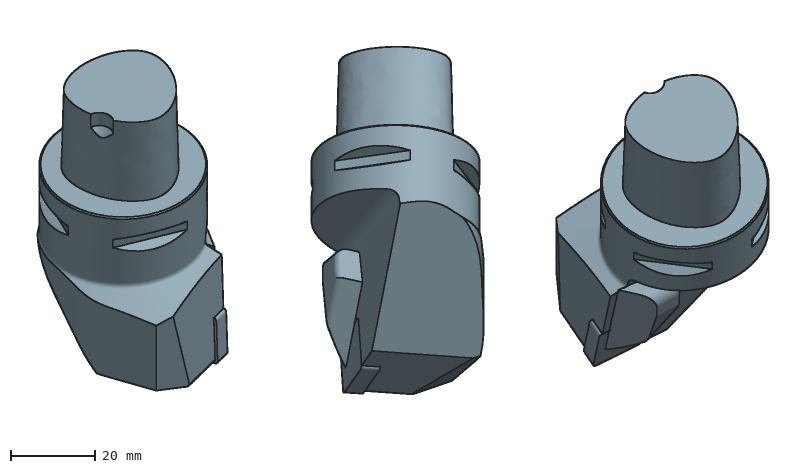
import cadquery as cq
import math


SHANK_HEIGHT = 23.9
SHANK_BASE_RADIUS = 14.0
SHANK_TOP_RADIUS = SHANK_BASE_RADIUS - SHANK_HEIGHT / 40
LOBE_OFFSET = 0.8

NOTCH_RADIUS = 3.4
NOTCH_INNER_Y = -10.7
NOTCH_WALL_DEPTH = 4.0

FLANGE_DIAMETER = 40.0
FLANGE_RADIUS = FLANGE_DIAMETER / 2
FLANGE_HEIGHT = 20.3
FLANGE_CHAMFER = 0.4
GRIP_Z = -8.1
GRIP_FLOOR_HEIGHT = 2.5
GRIP_DEPTH = 2.4
GRIP_FLARE = GRIP_DEPTH * math.tan(math.radians(30))

HEAD_BOTTOM = -53.3
HEAD_REACH = 33.3
SHOULDER_FILLET = 1.1
SHOULDER_SLOPE = math.tan(math.radians(15))
FRONT_Y = -25.0
HEAD_NECK_RADIUS = 20.4
NECK_TANGENT_ANGLE = math.radians(240)
FRONT_ARC_RADIUS = 17.0
FRONT_ARC_END_X = 6.95
FRONT_CORNER_X = 19.7
CORNER_WALL_ANGLE = math.radians(60)

BACK_SLOPE_START_Z = -19.6
BACK_SLOPE_ANGLE = math.radians(46)
SIDE_OFFSET_X = 22.0
SIDE_SLOPE_Y = 0.09
SIDE_SLOPE_Z = -0.086
BASE_OFFSET_Z = -46.8
BASE_SLOPE_X = -0.107
BASE_SLOPE_Y = -0.09
BEVEL_Z = -44.4
BEVEL_SLOPE = -0.41
TIP_CHAMFER = 0.45

SEAT_Y = 8.2
SEAT_SLOPE_X = -0.11
SEAT_SLOPE_Z = 0.1
RELIEF_TOP = -17.4
RELIEF_ROOF_SLOPE = 0.22
RELIEF_FILLET = 2.95

BOSS_BACK_Y = -7.4
BOSS_TOP_Z = -20.95
BOSS_BOTTOM_Z = -48.85
BOSS_TOP_END = (8.1, BOSS_TOP_Z)
BOSS_CROWN_MIDDLE = (10.3, -22.0)
BOSS_CROWN_END = (11.2, -24.8)
BOSS_FLAT_END = (11.2, -27.6)
BOSS_SLOPE_END = (9.4, -37.9)
BOSS_BASE_END = (5.25, -42.6)
BOSS_LEFT_X = 8.9
BOSS_RIGHT_X = 32.55
BOSS_UNDERCUT_Z = -29.3
BOSS_EDGE_RADIUS = 1.5
BOSS_SIDE_X = 18.05
BOSS_SIDE_Y = 8.9
BOSS_SIDE_ANGLE = math.radians(-52)

INSERT_EDGE = 12.9
INSERT_ANGLE = math.radians(80)
INSERT_LEAD = math.radians(95)
INSERT_THICKNESS = 4.7
INSERT_NOSE_RADIUS = 0.8
INSERT_TIP_X = 27.1
INSERT_TIP_Z = -50.2


def seat_y(x, z):
    return SEAT_Y + SEAT_SLOPE_X * x + SEAT_SLOPE_Z * z


def half_space(origin, normal):
    """Large block on the side of the plane to which the normal points."""
    size = 222
    plane = cq.Plane(origin=origin, normal=normal)
    return cq.Workplane(plane).rect(size, size).extrude(size)


def seat_plane(x, z):
    """Work plane in the seat: local X near +X, local Y near -Z, normal out of the seat."""
    normal = (-SEAT_SLOPE_X, 1, -SEAT_SLOPE_Z)
    return cq.Plane(origin=(x, seat_y(x, z), z), xDir=(1, SEAT_SLOPE_X, 0), normal=normal)


def lobed_wire(mean_radius, z):
    def point(t):
        along = mean_radius * math.cos(t) - 2 * LOBE_OFFSET * math.cos(2 * t) + LOBE_OFFSET * math.cos(4 * t)
        across = mean_radius * math.sin(t) + 2 * LOBE_OFFSET * math.sin(2 * t) + LOBE_OFFSET * math.sin(4 * t)
        return (across, -along, z)

    steps = 36
    points = [cq.Vector(*point(2 * math.pi * i / steps)) for i in range(steps)]
    return cq.Wire.assembleEdges([cq.Edge.makeSpline(points, periodic=True)])


def make_shank():
    base = lobed_wire(SHANK_BASE_RADIUS, 0)
    top = lobed_wire(SHANK_TOP_RADIUS, SHANK_HEIGHT)
    shank = cq.Workplane(cq.Solid.makeLoft([base, top], True))
    notch = (
        cq.Workplane("XZ")
        .polyline([
            (0, SHANK_HEIGHT),
            (NOTCH_RADIUS, SHANK_HEIGHT),
            (NOTCH_RADIUS, SHANK_HEIGHT - NOTCH_WALL_DEPTH),
            (0, SHANK_HEIGHT - NOTCH_WALL_DEPTH - NOTCH_RADIUS),
        ])
        .close()
        .revolve(360, (0, 0, 0), (0, 1, 0))
        .translate((0, NOTCH_INNER_Y - NOTCH_RADIUS, 0))
    )
    return shank.cut(notch)


def make_flange():
    flange = cq.Workplane("XY").circle(FLANGE_RADIUS).extrude(-FLANGE_HEIGHT)
    flange = flange.faces(">Z").edges().chamfer(FLANGE_CHAMFER)
    floor_x = FLANGE_RADIUS - GRIP_DEPTH
    floor_half = GRIP_FLOOR_HEIGHT / 2
    mouth_half = floor_half + GRIP_FLARE
    pocket = (
        cq.Workplane("XZ")
        .polyline([
            (floor_x, GRIP_Z - floor_half),
            (FLANGE_RADIUS, GRIP_Z - mouth_half),
            (FLANGE_RADIUS, GRIP_Z + mouth_half),
            (floor_x, GRIP_Z + floor_half),
        ])
        .close()
        .extrude(FLANGE_RADIUS, both=True)
    )
    for angle in (45, 135, 225, 315):
        flange = flange.cut(pocket.rotate((0, 0, 0), (0, 0, 1), angle))
    return flange


def head_outline():
    """Vertical walls of the head; its right end is left long for the side face."""
    neck_end = (HEAD_NECK_RADIUS * math.cos(NECK_TANGENT_ANGLE), HEAD_NECK_RADIUS * math.sin(NECK_TANGENT_ANGLE))
    turn = NECK_TANGENT_ANGLE - math.radians(270)
    arc_center_y = FRONT_Y + FRONT_ARC_RADIUS

    def arc_point(angle):
        return (
            FRONT_ARC_END_X + FRONT_ARC_RADIUS * math.sin(angle),
            arc_center_y - FRONT_ARC_RADIUS * math.cos(angle),
        )

    wall_run = HEAD_REACH - FRONT_CORNER_X
    wall_end_y = FRONT_Y + wall_run * math.tan(CORNER_WALL_ANGLE)
    return (
        cq.Workplane("XY")
        .moveTo(0, HEAD_NECK_RADIUS)
        .threePointArc((-HEAD_NECK_RADIUS, 0), neck_end)
        .lineTo(*arc_point(turn))
        .threePointArc(arc_point(turn / 2), (FRONT_ARC_END_X, FRONT_Y))
        .lineTo(FRONT_CORNER_X, FRONT_Y)
        .lineTo(HEAD_REACH, wall_end_y)
        .lineTo(HEAD_REACH, HEAD_NECK_RADIUS)
        .close()
    )


def shoulder_envelope():
    """Round solid whose top is the concave fillet and the conical shoulder."""
    cone_angle = math.atan(SHOULDER_SLOPE)

    def fillet_point(angle):
        return (
            FLANGE_RADIUS + SHOULDER_FILLET * (1 - math.cos(angle)),
            -FLANGE_HEIGHT - SHOULDER_FILLET * math.sin(angle),
        )

    full_turn = math.pi / 2 - cone_angle
    fillet_end = fillet_point(full_turn)
    rim_radius = 2 * HEAD_REACH
    rim_z = fillet_end[1] - (rim_radius - fillet_end[0]) * SHOULDER_SLOPE
    return (
        cq.Workplane("XZ")
        .moveTo(0, -FLANGE_HEIGHT)
        .lineTo(FLANGE_RADIUS, -FLANGE_HEIGHT)
        .threePointArc(fillet_point(full_turn / 2), fillet_end)
        .lineTo(rim_radius, rim_z)
        .lineTo(rim_radius, HEAD_BOTTOM)
        .lineTo(0, HEAD_BOTTOM)
        .close()
        .revolve(360, (0, 0, 0), (0, 1, 0))
    )


def make_boss():
    """Boss with rounded left edges, based on the seat plane."""
    boss = (
        cq.Workplane("YZ")
        .workplane(offset=BOSS_LEFT_X)
        .moveTo(BOSS_BACK_Y, BOSS_TOP_Z)
        .lineTo(*BOSS_TOP_END)
        .threePointArc(BOSS_CROWN_MIDDLE, BOSS_CROWN_END)
        .lineTo(*BOSS_FLAT_END)
        .lineTo(*BOSS_SLOPE_END)
        .lineTo(*BOSS_BASE_END)
        .lineTo(BOSS_BACK_Y, BOSS_BOTTOM_Z)
        .close()
        .extrude(BOSS_RIGHT_X - BOSS_LEFT_X)
    )
    undercut_normal = (-math.sin(BACK_SLOPE_ANGLE), 0, -math.cos(BACK_SLOPE_ANGLE))
    boss = boss.cut(half_space((BOSS_LEFT_X, 0, BOSS_UNDERCUT_Z), undercut_normal))
    left_wall = boss.faces("<X")
    undercut = boss.faces(cq.selectors.DirectionMinMaxSelector(cq.Vector(*undercut_normal)))
    shared = set(left_wall.edges().vals()) & set(undercut.edges().vals())
    rounded = [
        edge for edge in left_wall.edges().vals() + undercut.edges().vals()
        if edge not in shared and edge.Center().y > BOSS_BACK_Y + BOSS_EDGE_RADIUS
    ]
    boss = boss.newObject(rounded).fillet(BOSS_EDGE_RADIUS)
    side_normal = (-math.sin(BOSS_SIDE_ANGLE), math.cos(BOSS_SIDE_ANGLE), 0)
    boss = boss.cut(half_space((BOSS_SIDE_X, BOSS_SIDE_Y, 0), side_normal))
    seat = seat_plane(0, 0)
    return boss.intersect(half_space(seat.origin, seat.zDir))


def make_relief():
    """Open space above the seat plane, with a rising roof and a rounded inner corner."""
    corner = seat_plane(0, RELIEF_TOP)
    section = cq.Plane(origin=corner.origin, xDir=corner.zDir, normal=corner.xDir)
    relief = (
        cq.Workplane(section)
        .polyline([
            (0, 0),
            (HEAD_REACH, HEAD_REACH * RELIEF_ROOF_SLOPE),
            (HEAD_REACH, -2 * HEAD_REACH),
            (0, -2 * HEAD_REACH),
        ])
        .close()
        .extrude(2 * HEAD_REACH, both=True)
    )
    inner_edge = cq.selectors.NearestToPointSelector(corner.origin.toTuple())
    return relief.edges(inner_edge).fillet(RELIEF_FILLET)


def make_insert():
    plane = seat_plane(INSERT_TIP_X, INSERT_TIP_Z)
    side = (INSERT_EDGE * math.cos(INSERT_LEAD), -INSERT_EDGE * math.sin(INSERT_LEAD))
    base_angle = INSERT_LEAD + INSERT_ANGLE
    base = (INSERT_EDGE * math.cos(base_angle), -INSERT_EDGE * math.sin(base_angle))
    far = (side[0] + base[0], side[1] + base[1])
    return (
        cq.Workplane(plane)
        .polyline([(0, 0), side, far, base])
        .close()
        .extrude(-INSERT_THICKNESS)
        .edges(cq.selectors.ParallelDirSelector(plane.zDir))
        .fillet(INSERT_NOSE_RADIUS)
    )


def make_holder(insert):
    head = head_outline().extrude(HEAD_BOTTOM).intersect(shoulder_envelope())
    holder = make_flange().union(head)
    holder = holder.cut(make_relief()).union(make_boss())

    back_normal = (-math.sin(BACK_SLOPE_ANGLE), 0, -math.cos(BACK_SLOPE_ANGLE))
    holder = holder.cut(half_space((-FLANGE_RADIUS, 0, BACK_SLOPE_START_Z), back_normal))
    holder = holder.cut(half_space((SIDE_OFFSET_X, 0, 0), (1, -SIDE_SLOPE_Y, -SIDE_SLOPE_Z)))
    holder = holder.cut(half_space((0, 0, BASE_OFFSET_Z), (BASE_SLOPE_X, BASE_SLOPE_Y, -1)))
    holder = holder.cut(half_space((0, FRONT_Y, BEVEL_Z), (0, BEVEL_SLOPE, -1)))

    tip_x = (SIDE_OFFSET_X + SIDE_SLOPE_Z * BASE_OFFSET_Z) / (1 - SIDE_SLOPE_Z * BASE_SLOPE_X)
    tip_z = BASE_OFFSET_Z + BASE_SLOPE_X * tip_x
    tip_edge = cq.selectors.NearestToPointSelector((tip_x, FRONT_Y / 3, tip_z))
    holder = holder.edges(tip_edge).chamfer(TIP_CHAMFER)
    return holder.union(make_shank()).cut(insert)


insert = make_insert()
holder = make_holder(insert)
result = cq.Compound.makeCompound([holder.val(), insert.val()])